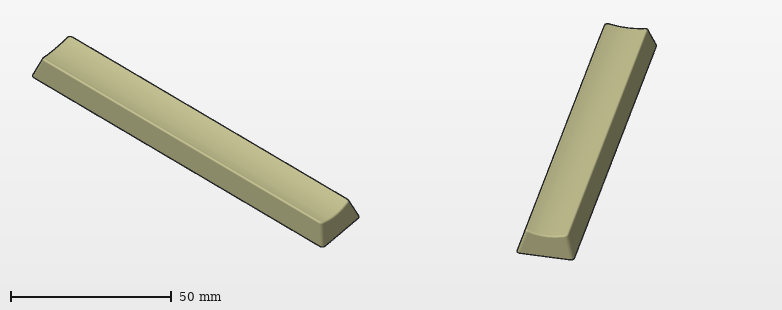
import cadquery as cq

length = 118.3
width = 18.3
height = 7.3

wall_taper = 17.5
corner_radius = 1.3
rim_radius = 0.6

dish_radius = 21.3
dish_depth = 1.0
dish_floor = height - dish_depth

trim_allowance = 1.2
block_height = height + trim_allowance


def tapered_block():
    """Solid block with leaning walls and rounded corner edges."""
    block = cq.Workplane("XY").rect(length, width).extrude(block_height, taper=wall_taper)
    sloping_edges = "not(#Z or |X or |Y)"
    return block.edges(sloping_edges).fillet(corner_radius)


def dish_cutter():
    """Cylinder along X whose lowest line is the floor of the dish."""
    return (
        cq.Workplane("YZ")
        .center(0, dish_floor + dish_radius)
        .circle(dish_radius)
        .extrude(length / 2, both=True)
    )


def round_rim(body):
    """Round every edge around the dished top face."""
    dish_floor_centre = (0, 0, dish_floor)
    dish_face = body.faces(cq.selectors.NearestToPointSelector(dish_floor_centre))
    return dish_face.edges().fillet(rim_radius)


dished_block = tapered_block().cut(dish_cutter())
result = round_rim(dished_block)